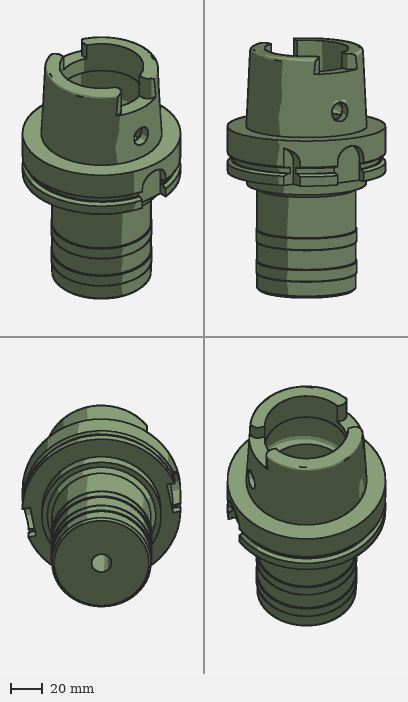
import cadquery as cq

total_height = 155.0

taper_height = 50.0
taper_base_diameter = 76.3
taper_tip_diameter = 71.5
tip_round = 2.0

flange_diameter = 100.0
flange_thickness = 29.0
groove_diameter = 92.4
groove_top = -18.0
groove_bottom = -21.7
groove_upper_bevel_height = 1.1
groove_upper_bevel_width = 1.9
groove_lower_bevel_height = 1.4
groove_lower_bevel_width = 2.6

collar_diameter = 75.3
collar_height = 8.0
neck_top_diameter = 68.5
neck_height = 2.8
shank_diameter = 62.6
shank_end_chamfer = 1.4

band_diameter = 63.7
band_height = 8.0
band_edge_chamfer = 0.5
band_pitch = 20.3
upper_band_top = -66.0
band_count = 2

bore_diameter = 53.0
undercut_diameter = 63.0
undercut_top = 30.0
undercut_bottom = 4.2
bore_floor = -12.0
counterbore_diameter = 24.3
counterbore_depth = 20.0
through_hole_diameter = 12.5

cross_hole_diameter = 12.1
cross_hole_height = 15.0

notch_width = 20.0
notch_shoulder_distance = 32.2
notch_corner_radius = 5.0
left_notch_depth = 9.9
right_notch_depth = 15.0

slot_top = -4.8
slot_width = 20.0
drive_slot_floor_distance = 44.0
coding_notch_floor_distance = 31.2
coding_notch_side_distance = 31.6

flange_bottom = -flange_thickness
shank_bottom = taper_height - total_height


def disc(diameter, bottom, top):
    return cq.Workplane("XY").workplane(offset=bottom).circle(diameter / 2).extrude(top - bottom)


def cone(bottom_diameter, top_diameter, bottom, top):
    return (
        cq.Workplane("XY")
        .workplane(offset=bottom)
        .circle(bottom_diameter / 2)
        .workplane(offset=top - bottom)
        .circle(top_diameter / 2)
        .loft()
    )


def make_taper():
    taper = cone(taper_base_diameter, taper_tip_diameter, 0, taper_height)
    return taper.faces(">Z").edges().fillet(tip_round)


def make_flange():
    """Rim disc with a bevelled gripper groove turned into its edge."""
    rim_radius = flange_diameter / 2
    groove_radius = groove_diameter / 2
    profile = [
        (0, 0),
        (rim_radius, 0),
        (rim_radius, groove_top + groove_upper_bevel_height),
        (rim_radius - groove_upper_bevel_width, groove_top),
        (groove_radius, groove_top),
        (groove_radius, groove_bottom),
        (rim_radius - groove_lower_bevel_width, groove_bottom),
        (rim_radius, groove_bottom - groove_lower_bevel_height),
        (rim_radius, flange_bottom),
        (0, flange_bottom),
    ]
    return cq.Workplane("XZ").polyline(profile).close().revolve(360, (0, 0, 0), (0, 1, 0))


def make_shank():
    """Collar, conical neck and banded cylindrical shank."""
    collar_bottom = flange_bottom - collar_height
    neck_bottom = collar_bottom - neck_height
    shank = disc(shank_diameter, shank_bottom, neck_bottom).faces("<Z").edges().chamfer(shank_end_chamfer)
    shank = shank.union(cone(shank_diameter, neck_top_diameter, neck_bottom, collar_bottom))
    shank = shank.union(disc(collar_diameter, collar_bottom, flange_bottom))
    for index in range(band_count):
        band_top = upper_band_top - index * band_pitch
        band = disc(band_diameter, band_top - band_height, band_top)
        shank = shank.union(band.edges("%CIRCLE").chamfer(band_edge_chamfer))
    return shank


def make_bore():
    """Tip bore, undercut with a rounded floor, counterbore and through hole."""
    floor_round = (undercut_diameter - bore_diameter) / 2
    undercut = disc(undercut_diameter, undercut_bottom, undercut_top)
    undercut = undercut.faces("<Z").edges().fillet(floor_round)
    bore = disc(bore_diameter, bore_floor, taper_height).union(undercut)
    bore = bore.union(disc(counterbore_diameter, bore_floor - counterbore_depth, bore_floor))
    return bore.union(disc(through_hole_diameter, shank_bottom, bore_floor))


def make_cross_hole():
    return (
        cq.Workplane("YZ")
        .center(0, cross_hole_height)
        .circle(cross_hole_diameter / 2)
        .extrude(flange_diameter / 2, both=True)
    )


def make_driver_notch(side, depth):
    """Cut through one taper wall (side is -1 or +1 along X) that flares outward around both lugs."""
    half_width = notch_width / 2
    radius = notch_corner_radius
    outer = flange_diameter / 2
    return (
        cq.Workplane("XY")
        .workplane(offset=taper_height - depth)
        .moveTo(0, -half_width)
        .lineTo(side * (notch_shoulder_distance - radius), -half_width)
        .radiusArc((side * notch_shoulder_distance, -half_width - radius), side * radius)
        .lineTo(side * notch_shoulder_distance, -outer)
        .lineTo(side * outer, -outer)
        .lineTo(side * outer, outer)
        .lineTo(side * notch_shoulder_distance, outer)
        .lineTo(side * notch_shoulder_distance, half_width + radius)
        .radiusArc((side * (notch_shoulder_distance - radius), half_width), side * radius)
        .lineTo(0, half_width)
        .close()
        .extrude(depth)
    )


def make_rim_cut(side, floor_distance, centre_y):
    """Round-topped cut running outward along X from its flat floor, open at the flange underside."""
    radius = slot_width / 2
    arch_centre = slot_top - radius
    return (
        cq.Workplane("YZ")
        .workplane(offset=side * floor_distance)
        .moveTo(centre_y - radius, flange_bottom)
        .lineTo(centre_y - radius, arch_centre)
        .threePointArc((centre_y, slot_top), (centre_y + radius, arch_centre))
        .lineTo(centre_y + radius, flange_bottom)
        .close()
        .extrude(side * (flange_diameter / 2 - floor_distance))
    )


result = make_taper().union(make_flange()).union(make_shank())
result = result.cut(make_bore()).cut(make_cross_hole())

for side, depth in ((-1, left_notch_depth), (1, right_notch_depth)):
    result = result.cut(make_driver_notch(side, depth))
    result = result.cut(make_rim_cut(side, drive_slot_floor_distance, 0))

coding_notch_centre = coding_notch_side_distance + slot_width / 2
result = result.cut(make_rim_cut(-1, coding_notch_floor_distance, coding_notch_centre))